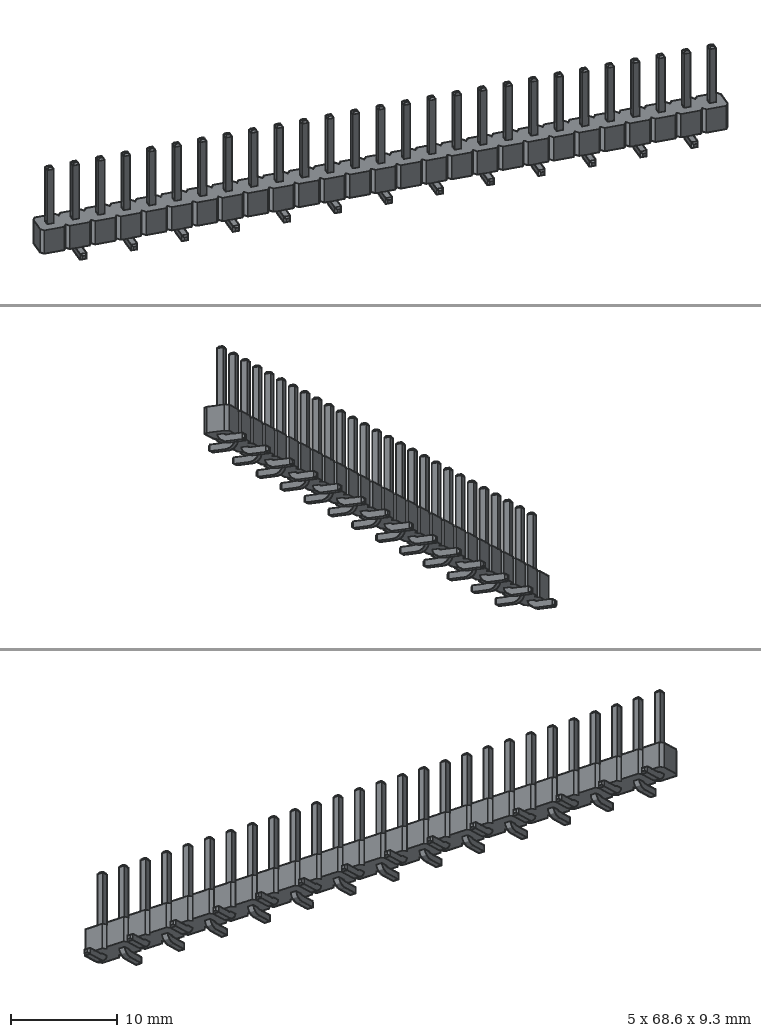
import cadquery as cq

total_length = 68.6
total_width = 5.0
total_height = 9.3
pin_count = 27
pitch = total_length / pin_count

body_width = 2.6
body_bottom = 0.75
body_height = 2.55
corner_cut_x = 0.38
corner_cut_y = 0.3

wire = 0.645
bend_inner_radius = 0.35
tip_length = 0.2
tip_inset = 0.15

half_wire = wire / 2


def insulator():
    """Row of eight-sided blocks joined end to end, extruded in one piece."""
    half_x = body_width / 2
    neck_x = half_x - corner_cut_x
    right_side = []
    for index in range(pin_count):
        start = index * pitch - total_length / 2
        end = start + pitch
        right_side += [(neck_x, start), (half_x, start + corner_cut_y), (half_x, end - corner_cut_y)]
    right_side.append((neck_x, total_length / 2))
    left_side = [(-x, y) for x, y in reversed(right_side)]
    return (
        cq.Workplane("XY", origin=(0, 0, body_bottom))
        .polyline(right_side + left_side)
        .close()
        .extrude(body_height)
    )


def tapered_tip(base_plane):
    """Square frustum that ends a wire, standing on the given plane."""
    end_size = wire - 2 * tip_inset
    return (
        cq.Workplane(base_plane)
        .rect(wire, wire)
        .workplane(offset=tip_length)
        .rect(end_size, end_size)
        .loft()
    )


def terminal():
    """Upright pin whose lower end bends into a solder tail pointing to -X."""
    shank_top = total_height - tip_length
    tail_end = -total_width / 2 + tip_length
    bend_outer_radius = bend_inner_radius + wire
    bend_x = -half_wire - bend_inner_radius
    bend_z = bend_outer_radius
    wire_body = (
        cq.Workplane("XZ", origin=(0, half_wire, 0))
        .moveTo(tail_end, 0)
        .lineTo(bend_x, 0)
        .radiusArc((half_wire, bend_z), -bend_outer_radius)
        .lineTo(half_wire, shank_top)
        .lineTo(-half_wire, shank_top)
        .lineTo(-half_wire, bend_z)
        .radiusArc((bend_x, wire), bend_inner_radius)
        .lineTo(tail_end, wire)
        .close()
        .extrude(wire)
    )
    pin_end = cq.Plane(origin=(0, 0, shank_top))
    tail_end_plane = cq.Plane(origin=(tail_end, 0, half_wire), xDir=(0, 1, 0), normal=(-1, 0, 0))
    return wire_body.union(tapered_tip(pin_end)).union(tapered_tip(tail_end_plane))


left_terminal = terminal().val()
right_terminal = left_terminal.rotate(cq.Vector(0, 0, 0), cq.Vector(0, 0, 1), 180)

terminals = []
for index in range(pin_count):
    pin_y = (index + 0.5) * pitch - total_length / 2
    pin = left_terminal if index % 2 == 0 else right_terminal
    terminals.append(pin.translate(cq.Vector(0, pin_y, 0)))

row_of_terminals = cq.Workplane(cq.Compound.makeCompound(terminals))
result = insulator().union(row_of_terminals).solids()